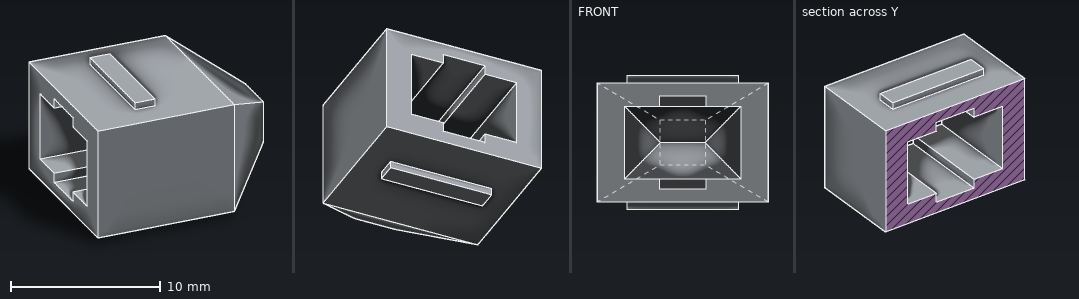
import cadquery as cq

total_length = 14.0
housing_width = 11.5
housing_height = 8.0
housing_length = 10.0
nose_length = total_length - housing_length
nose_tip_width = 3.02
nose_tip_height = 3.0

rib_width = 7.5
rib_length = 1.45
rib_height = 0.5
rib_start = 3.6

socket_width = 7.8
socket_height = 4.87
socket_straight_depth = housing_length
socket_taper_depth = 2.23
ridge_width = 3.0

key_width = 3.1
key_height = 6.25
key_depth = socket_straight_depth


def centred_block(width, length, height, start):
    """Block centred in X and Z that runs rearward from Y = start."""
    return cq.Workplane("XY").box(width, length, height).translate((0, start + length / 2, 0))


def tapered_nose():
    """Four-sided nose shrinking from the housing section to its tip."""
    return (
        cq.Workplane("XZ", origin=(0, housing_length, 0))
        .rect(housing_width, housing_height)
        .workplane(offset=-nose_length)
        .rect(nose_tip_width, nose_tip_height)
        .loft(ruled=True)
    )


def socket_end():
    """Roof-shaped end: two wedges whose overlap closes all four walls to a ridge."""
    base = socket_straight_depth
    tip = base + socket_taper_depth
    half_width = socket_width / 2
    half_height = socket_height / 2
    half_ridge = ridge_width / 2
    side_profile = (
        cq.Workplane("YZ")
        .polyline([(base, -half_height), (tip, 0), (base, half_height)])
        .close()
        .extrude(half_width, both=True)
    )
    plan_profile = (
        cq.Workplane("XY")
        .polyline([(-half_width, base), (-half_ridge, tip), (half_ridge, tip), (half_width, base)])
        .close()
        .extrude(half_height, both=True)
    )
    return side_profile.intersect(plan_profile)


housing = centred_block(housing_width, housing_length, housing_height, 0)
ribs = centred_block(rib_width, rib_length, housing_height + 2 * rib_height, rib_start)
socket = centred_block(socket_width, socket_straight_depth, socket_height, 0)
key_grooves = centred_block(key_width, key_depth, key_height, 0)

result = housing.union(tapered_nose()).union(ribs)
result = result.cut(socket).cut(socket_end()).cut(key_grooves)